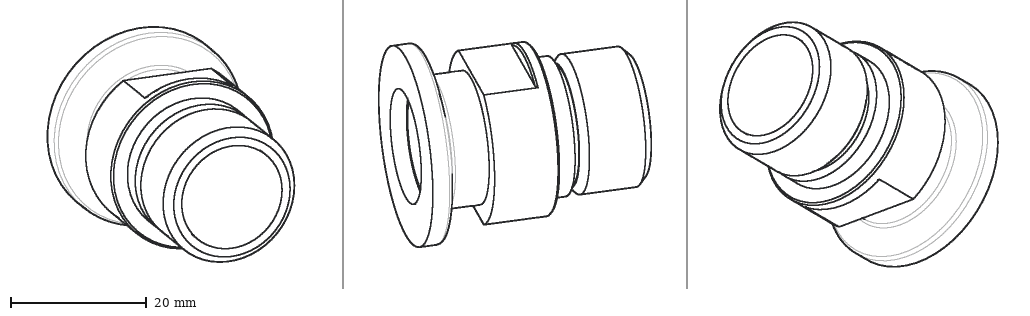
import cadquery as cq
import math

total_length = 35.0
flange_rim_end = 3.0
collar_start = 10.0
collar_end = 20.0
shoulder_end = 23.0
groove_end = 24.0

flange_diameter = 30.0
neck_diameter = 20.0
collar_diameter = 26.0
thread_diameter = 20.955
groove_diameter = 18.0

flange_cone_angle = 15.0
flange_rim_fillet = 0.6
neck_fillet = 0.6

collar_chamfer = 0.3
thread_chamfer = 1.2

bore_diameter = 16.0
counterbore_diameter = 17.2
counterbore_depth = 2.5

flat_width = 14.0
flat_length = 8.0
flat_wall_chamfer = 0.3

flange_radius = flange_diameter / 2
neck_radius = neck_diameter / 2
collar_radius = collar_diameter / 2
thread_radius = thread_diameter / 2
groove_radius = groove_diameter / 2
flange_cone_length = (flange_radius - neck_radius) * math.tan(math.radians(flange_cone_angle))
flange_cone_end = flange_rim_end + flange_cone_length
flat_end = collar_start + flat_length
across_flats = 2 * math.sqrt(collar_radius**2 - (flat_width / 2) ** 2)


def edge_at(x, radius):
    """Select the circular edge of the given radius centred on the X axis at x."""
    tolerance = 0.01
    return cq.selectors.BoxSelector(
        (x - tolerance, -radius - tolerance, -radius - tolerance),
        (x + tolerance, radius + tolerance, radius + tolerance),
        boundingbox=True,
    )


def turned_body():
    """Solid of revolution about X, without the bore or the flats."""
    profile = (
        cq.Workplane("XY")
        .moveTo(0, 0)
        .lineTo(0, flange_radius)
        .lineTo(flange_rim_end, flange_radius)
        .lineTo(flange_cone_end, neck_radius)
        .lineTo(collar_start, neck_radius)
        .lineTo(collar_start, collar_radius)
        .lineTo(collar_end - collar_chamfer, collar_radius)
        .lineTo(collar_end, collar_radius - collar_chamfer)
        .lineTo(collar_end, thread_radius)
        .lineTo(shoulder_end, thread_radius)
        .lineTo(shoulder_end, groove_radius)
        .lineTo(groove_end, groove_radius)
        .lineTo(groove_end, thread_radius - thread_chamfer)
        .lineTo(groove_end + thread_chamfer, thread_radius)
        .lineTo(total_length - thread_chamfer, thread_radius)
        .lineTo(total_length, thread_radius - thread_chamfer)
        .lineTo(total_length, 0)
        .close()
    )
    body = profile.revolve(360, (0, 0, 0), (1, 0, 0))
    body = body.edges(edge_at(flange_rim_end, flange_radius)).fillet(flange_rim_fillet)
    return body.edges(edge_at(flange_cone_end, neck_radius)).fillet(neck_fillet)


def bore():
    """Through bore with a shallow counterbore at the flange face."""
    through = cq.Workplane("YZ").circle(bore_diameter / 2).extrude(total_length)
    counterbore = cq.Workplane("YZ").circle(counterbore_diameter / 2).extrude(counterbore_depth)
    return through.union(counterbore)


def flat_cutter(side, length):
    """Block beyond one flat; side is +1 for the +Z flat and -1 for the -Z flat."""
    height = collar_radius
    center = (collar_start + length / 2, 0, side * (across_flats + height) / 2)
    return cq.Workplane("XY").box(length, collar_diameter, height).translate(center)


def flat_wall_chamfer_cutter():
    """Conical ring sector that breaks the rim of the wall ending the +Z flat."""
    ring = (
        cq.Workplane("XY")
        .moveTo(flat_end, collar_radius - flat_wall_chamfer)
        .lineTo(flat_end + flat_wall_chamfer, collar_radius)
        .lineTo(flat_end, collar_radius)
        .close()
        .revolve(360, (0, 0, 0), (1, 0, 0))
    )
    return ring.intersect(flat_cutter(1, flat_length + flat_wall_chamfer))


result = turned_body().cut(bore())
for side in (1, -1):
    result = result.cut(flat_cutter(side, flat_length))
result = result.cut(flat_wall_chamfer_cutter())